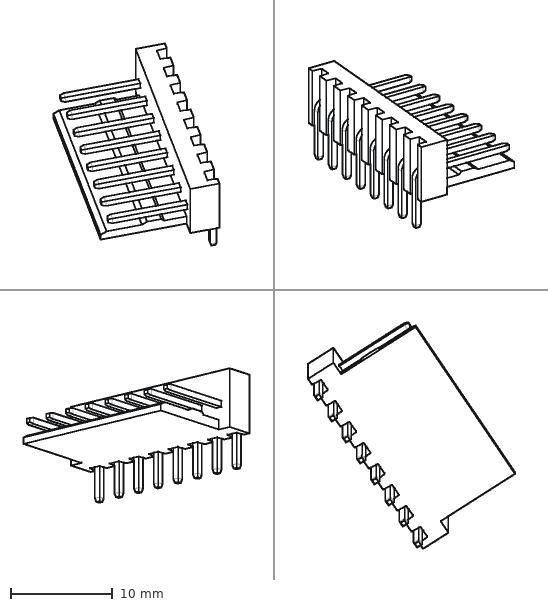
import cadquery as cq


pin_count = 8
pitch = 2.54
pin_positions = [(i - (pin_count - 1) / 2) * pitch for i in range(pin_count)]

pin_width = 0.64
pin_axis_height = 2.57
pin_reach = 10.98
tail_length = 3.4
tip_length = 0.4
tip_width = 0.43
bend_outer_radius = 1.03
bend_inner_radius = bend_outer_radius - pin_width

housing_width = 20.57
housing_depth = 2.98
housing_height = 6.0

slot_depth = 1.03
slot_floor_width = 1.23
slot_mouth_width = 1.35

tongue_width = (pin_count - 1) * pitch
tongue_thickness = 0.99
tongue_reach = 11.7
tongue_bevel_length = 0.6
tongue_bevel_height = 0.33

ridge_top = 1.28
ridge_back_foot = 5.25
ridge_back_crest = 5.55
ridge_front_crest = 7.0
ridge_front_foot = 7.5


def make_tongue():
    """Beveled tongue with its locking ridge, extruded along X from a YZ outline."""
    outline = [
        (-housing_depth, 0),
        (-housing_depth, tongue_thickness),
        (-ridge_back_foot, tongue_thickness),
        (-ridge_back_crest, ridge_top),
        (-ridge_front_crest, ridge_top),
        (-ridge_front_foot, tongue_thickness),
        (-(tongue_reach - tongue_bevel_length), tongue_thickness),
        (-tongue_reach, tongue_thickness - tongue_bevel_height),
        (-tongue_reach, 0),
    ]
    return cq.Workplane("YZ").polyline(outline).close().extrude(tongue_width / 2, both=True)


def make_slot(x):
    """Full-height slot that widens from its floor to the back face."""
    outline = [
        (x - slot_floor_width / 2, -slot_depth),
        (x + slot_floor_width / 2, -slot_depth),
        (x + slot_mouth_width / 2, 0),
        (x - slot_mouth_width / 2, 0),
    ]
    return cq.Workplane("XY").polyline(outline).close().extrude(housing_height)


def make_pin_hole(x):
    """Square hole that holds the straight part of a pin."""
    return (
        cq.Workplane("XZ")
        .center(x, pin_axis_height)
        .rect(pin_width, pin_width)
        .extrude(housing_depth)
    )


def make_housing():
    """Housing block with its tongue, cut by one slot and one hole for each pin."""
    block = (
        cq.Workplane("XY", origin=(0, -housing_depth / 2, 0))
        .rect(housing_width, housing_depth)
        .extrude(housing_height)
    )
    housing = block.union(make_tongue())
    for x in pin_positions:
        housing = housing.cut(make_slot(x)).cut(make_pin_hole(x))
    return housing


def make_tip(base_plane):
    """Tapered pin end that grows from the given plane along its normal."""
    return (
        cq.Workplane(base_plane)
        .rect(pin_width, pin_width)
        .workplane(offset=tip_length)
        .rect(tip_width, tip_width)
        .loft(ruled=True)
    )


def make_pin(x):
    """Right-angle pin: straight contact through the housing, bend, and tail along the back face."""
    contact_top = pin_axis_height + pin_width / 2
    bend_height = contact_top - bend_outer_radius
    contact_shoulder = pin_reach - tip_length
    tail_shoulder = tail_length - tip_length

    contact = (
        cq.Workplane("XZ", origin=(x, -bend_outer_radius, pin_axis_height))
        .rect(pin_width, pin_width)
        .extrude(contact_shoulder - bend_outer_radius)
    )
    tail = (
        cq.Workplane("XY", origin=(x, -pin_width / 2, -tail_shoulder))
        .rect(pin_width, pin_width)
        .extrude(tail_shoulder + bend_height)
    )
    bend = (
        cq.Workplane("YZ", origin=(x, 0, 0))
        .moveTo(0, bend_height)
        .radiusArc((-bend_outer_radius, contact_top), -bend_outer_radius)
        .lineTo(-bend_outer_radius, contact_top - pin_width)
        .radiusArc((-pin_width, bend_height), bend_inner_radius)
        .close()
        .extrude(pin_width / 2, both=True)
    )
    contact_tip = make_tip(
        cq.Plane(origin=(x, -contact_shoulder, pin_axis_height), xDir=(1, 0, 0), normal=(0, -1, 0))
    )
    tail_tip = make_tip(
        cq.Plane(origin=(x, -pin_width / 2, -tail_shoulder), xDir=(1, 0, 0), normal=(0, 0, -1))
    )
    return contact.union(bend).union(tail).union(contact_tip).union(tail_tip)


housing = make_housing()
pins = [make_pin(x) for x in pin_positions]

result = cq.Compound.makeCompound([housing.val(), *[pin.val() for pin in pins]])